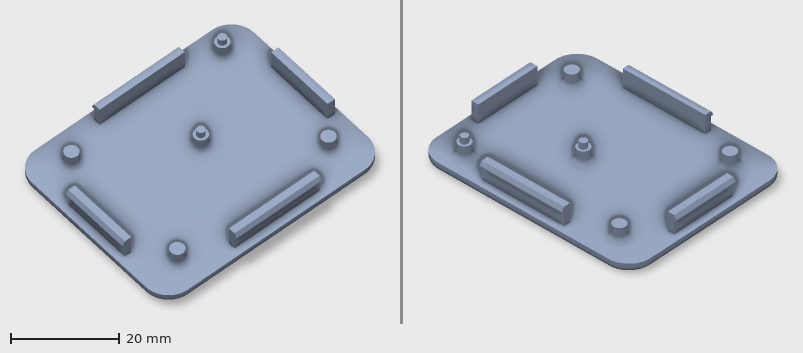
import cadquery as cq

width = 43.2
length = 53.95
height = 6.5
plate_thickness = 2.0
corner_radius = 5.5
bottom_edge_radius = plate_thickness / 2

edge_gap = 1.15
hook_thickness = 1.55
lip_reach = 0.6
lip_bottom = 5.3
lip_flat = 0.25
side_hook_length = 20.7
side_hook_center_y = 1.7
end_wall_length = 16.0
end_wall_center_x = 0.1
plain_wall_thickness = 1.8

pin_diameter = 3.0
pin_top = 5.0
foot_radius = plate_thickness / 2
tip_diameter = 1.8
plain_pins = [(13.05, 20.0), (-15.15, -18.25), (14.8, -18.25)]
tipped_pins = [(-16.45, 19.6), (-2.65, 2.5)]


def make_plate():
    plate = cq.Workplane("XY").box(width, length, plate_thickness, centered=(True, True, False))
    plate = plate.edges("|Z").fillet(corner_radius)
    return plate.faces("<Z").edges().fillet(bottom_edge_radius)


def make_hook(hook_length, outward_angle, plate_half_size, offset):
    """Hook facing +X, shifted along its own length, then turned about Z to face outward."""
    tip = plate_half_size - edge_gap
    outer = tip - lip_reach
    inner = outer - hook_thickness
    profile = [
        (inner, plate_thickness),
        (outer, plate_thickness),
        (outer, lip_bottom),
        (tip, lip_bottom),
        (tip, lip_bottom + lip_flat),
        (outer, height),
        (inner, height),
    ]
    hook = cq.Workplane("XZ").polyline(profile).close().extrude(hook_length / 2, both=True)
    hook = hook.translate((0, offset, 0))
    return hook.rotate((0, 0, 0), (0, 0, 1), outward_angle)


def make_plain_wall():
    center_y = length / 2 - edge_gap - plain_wall_thickness / 2
    wall = cq.Workplane("XY").workplane(offset=plate_thickness).center(end_wall_center_x, center_y)
    return wall.rect(end_wall_length, plain_wall_thickness).extrude(height - plate_thickness)


def make_pin(x, y, tipped):
    """Revolved pin whose foot flares out to the plate in a concave quarter circle."""
    pin_radius = pin_diameter / 2
    foot_top = plate_thickness + foot_radius
    foot_outer = pin_radius + foot_radius
    arc_inset = foot_radius * (1 - 0.5 ** 0.5)
    arc_middle = (pin_radius + arc_inset, plate_thickness + arc_inset)
    outline = cq.Workplane("XZ").moveTo(0, plate_thickness).lineTo(foot_outer, plate_thickness)
    outline = outline.threePointArc(arc_middle, (pin_radius, foot_top))
    outline = outline.lineTo(pin_radius, pin_top)
    if tipped:
        outline = outline.lineTo(tip_diameter / 2, pin_top).lineTo(tip_diameter / 2, height).lineTo(0, height)
    else:
        outline = outline.lineTo(0, pin_top)
    return outline.close().revolve(360, (0, 0, 0), (0, 1, 0)).translate((x, y, 0))


result = make_plate()
result = result.union(make_hook(side_hook_length, 0, width / 2, side_hook_center_y))
result = result.union(make_hook(side_hook_length, 180, width / 2, -side_hook_center_y))
result = result.union(make_hook(end_wall_length, -90, length / 2, end_wall_center_x))
result = result.union(make_plain_wall())
for x, y in plain_pins:
    result = result.union(make_pin(x, y, tipped=False))
for x, y in tipped_pins:
    result = result.union(make_pin(x, y, tipped=True))